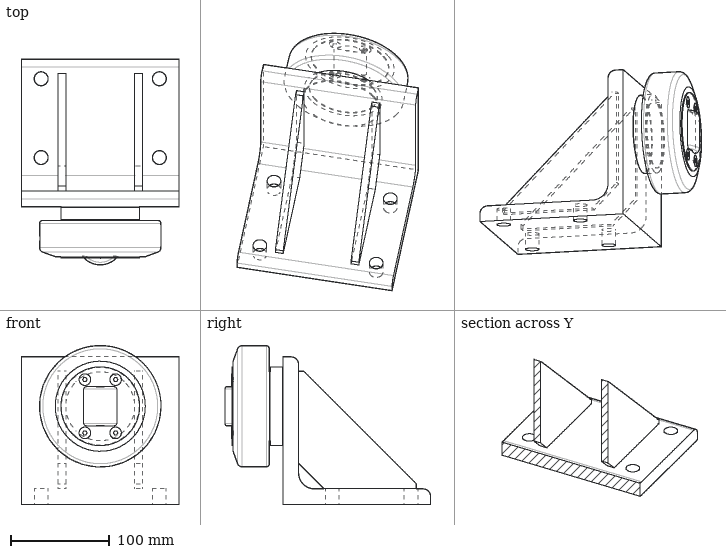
import cadquery as cq
import math

BRACKET_WIDTH = 160.0
LEG_LENGTH = 150.0
LEG_THICKNESS = 16.0
INNER_CORNER_RADIUS = 16.0
LEG_TIP_RADIUS = 8.0

RIB_THICKNESS = 8.0
RIB_GAP = 70.0
RIB_END = 135.5
RIB_END_LAND = 5.0
RIB_CORNER_CUT = 25.5

MOUNT_HOLE_DIAMETER = 13.84
MOUNT_HOLE_SPACING_X = 120.0
MOUNT_HOLE_SPACING_Y = 80.0
MOUNT_HOLE_FIRST_Y = 50.0

AXIS_HEIGHT = 99.75
HUB_DIAMETER = 80.0
HUB_FRONT = 51.7
HUB_CHAMFER = 0.5
HUB_FLANGE_THICKNESS = 13.1
HUB_CORE_DIAMETER = 70.0
WHEEL_DIAMETER = 123.5
WHEEL_CROWN = 0.15
WHEEL_BACK = 13.8
WHEEL_FRONT = 50.7
WHEEL_FACE_DIAMETER = 91.5
WHEEL_CONE_ANGLE = 20.0
WHEEL_BACK_FILLET = 3.0
WHEEL_FRONT_FILLET = 5.0
RIM_TOLERANCE = 1.0

ROLLER_RADIUS = 23.0
ROLLER_LENGTH = 40.0
ROLLER_FILLET = 2.7
ROLLER_FRONT = 59.0
ROLLER_RECESS_RADIUS = 16.2
ROLLER_RECESS_DEPTH = 0.5

SCREW_HEAD_DIAMETER = 11.7
SCREW_HEAD_HEIGHT = 0.3
SCREW_CIRCLE_RADIUS = 31.2
SCREW_ANGLES = (60, 120, 240, 300)
HEX_SIDES = 6
SOCKET_ACROSS_FLATS = 4.0
SOCKET_DEPTH = 2.0


def extrude_along_x(profile, start, length):
    """Extrude a (Y, Z) profile from X = start towards +X."""
    return profile.extrude(length).translate((start, 0, 0))


def make_angle():
    profile = (
        cq.Workplane("YZ")
        .moveTo(0, 0)
        .lineTo(LEG_LENGTH, 0)
        .lineTo(LEG_LENGTH, LEG_THICKNESS)
        .lineTo(LEG_THICKNESS, LEG_THICKNESS)
        .lineTo(LEG_THICKNESS, LEG_LENGTH)
        .lineTo(0, LEG_LENGTH)
        .close()
    )
    angle = extrude_along_x(profile, -BRACKET_WIDTH / 2, BRACKET_WIDTH)
    inner_corner = cq.NearestToPointSelector((0, LEG_THICKNESS, LEG_THICKNESS))
    base_tip = cq.NearestToPointSelector((0, LEG_LENGTH, LEG_THICKNESS))
    upright_tip = cq.NearestToPointSelector((0, LEG_THICKNESS, LEG_LENGTH))
    angle = angle.edges(inner_corner).fillet(INNER_CORNER_RADIUS)
    return angle.edges(base_tip).fillet(LEG_TIP_RADIUS).edges(upright_tip).fillet(LEG_TIP_RADIUS)


def make_rib(start):
    corner_cut_end = LEG_THICKNESS + RIB_CORNER_CUT
    land_end = LEG_THICKNESS + RIB_END_LAND
    profile = (
        cq.Workplane("YZ")
        .moveTo(corner_cut_end, LEG_THICKNESS)
        .lineTo(RIB_END, LEG_THICKNESS)
        .lineTo(RIB_END, land_end)
        .lineTo(land_end, RIB_END)
        .lineTo(LEG_THICKNESS, RIB_END)
        .lineTo(LEG_THICKNESS, corner_cut_end)
        .close()
    )
    return extrude_along_x(profile, start, RIB_THICKNESS)


def make_mount_holes():
    centres = [
        (side * MOUNT_HOLE_SPACING_X / 2, MOUNT_HOLE_FIRST_Y + row * MOUNT_HOLE_SPACING_Y)
        for side in (-1, 1)
        for row in (0, 1)
    ]
    return cq.Workplane("XY").pushPoints(centres).circle(MOUNT_HOLE_DIAMETER / 2).extrude(LEG_THICKNESS)


def make_wheel():
    """Crowned wheel with a conical front shoulder, revolved from an (X, Y) half profile."""
    radius = WHEEL_DIAMETER / 2
    edge_radius = radius - WHEEL_CROWN
    face_radius = WHEEL_FACE_DIAMETER / 2
    cone_length = (edge_radius - face_radius) * math.tan(math.radians(WHEEL_CONE_ANGLE))
    shoulder = WHEEL_FRONT - cone_length
    wheel = (
        cq.Workplane("XY")
        .moveTo(0, -WHEEL_BACK)
        .lineTo(edge_radius, -WHEEL_BACK)
        .threePointArc((radius, -(WHEEL_BACK + shoulder) / 2), (edge_radius, -shoulder))
        .lineTo(face_radius, -WHEEL_FRONT)
        .lineTo(0, -WHEEL_FRONT)
        .close()
        .revolve(360, (0, 0), (0, 1))
    )
    wheel = wheel.faces(">Y").edges().fillet(WHEEL_BACK_FILLET)
    rim_zone = cq.selectors.BoxSelector(
        (-radius, -shoulder - RIM_TOLERANCE, -radius), (radius, -shoulder + RIM_TOLERANCE, radius)
    )
    wheel = wheel.edges(rim_zone).edges("%CIRCLE").fillet(WHEEL_FRONT_FILLET)
    return wheel.translate((0, 0, AXIS_HEIGHT))


def make_hub_disc(diameter, back, front):
    disc = cq.Workplane("XZ", origin=(0, -back, 0)).circle(diameter / 2).extrude(front - back)
    return disc.translate((0, 0, AXIS_HEIGHT))


def make_hub():
    """Flange on the bracket and cap in the wheel, joined by a core that leaves a gap behind the wheel."""
    flange = make_hub_disc(HUB_DIAMETER, 0, HUB_FLANGE_THICKNESS).edges(">Y").chamfer(HUB_CHAMFER)
    core = make_hub_disc(HUB_CORE_DIAMETER, 0, HUB_FRONT)
    cap = make_hub_disc(HUB_DIAMETER, WHEEL_BACK, HUB_FRONT)
    return core.union(flange).union(cap)


def make_roller():
    """Roller with rounded ends and a shallow round recess in each end face."""
    roller = cq.Workplane("XY").circle(ROLLER_RADIUS).extrude(ROLLER_LENGTH)
    roller = roller.edges().fillet(ROLLER_FILLET)
    recess = cq.Workplane("XY").circle(ROLLER_RECESS_RADIUS).extrude(ROLLER_RECESS_DEPTH)
    roller = roller.cut(recess).cut(recess.translate((0, 0, ROLLER_LENGTH - ROLLER_RECESS_DEPTH)))
    return roller.translate((0, ROLLER_RADIUS - ROLLER_FRONT, AXIS_HEIGHT - ROLLER_LENGTH / 2))


def screw_workplane(distance):
    """Plane parallel to the hub face with a point at every screw centre."""
    centres = [
        (
            SCREW_CIRCLE_RADIUS * math.cos(math.radians(angle)),
            AXIS_HEIGHT + SCREW_CIRCLE_RADIUS * math.sin(math.radians(angle)),
        )
        for angle in SCREW_ANGLES
    ]
    return cq.Workplane("XZ", origin=(0, -distance, 0)).pushPoints(centres)


def make_screw_heads():
    return screw_workplane(HUB_FRONT).circle(SCREW_HEAD_DIAMETER / 2).extrude(SCREW_HEAD_HEIGHT)


def make_screw_sockets():
    across_corners = SOCKET_ACROSS_FLATS / math.cos(math.pi / HEX_SIDES)
    socket_floor = HUB_FRONT + SCREW_HEAD_HEIGHT - SOCKET_DEPTH
    return screw_workplane(socket_floor).polygon(HEX_SIDES, across_corners).extrude(SOCKET_DEPTH)


bracket = make_angle().cut(make_mount_holes())
for rib_start in (-RIB_GAP / 2 - RIB_THICKNESS, RIB_GAP / 2):
    bracket = bracket.union(make_rib(rib_start))

wheel_unit = make_hub().union(make_wheel()).union(make_roller())
wheel_unit = wheel_unit.union(make_screw_heads()).cut(make_screw_sockets())

result = bracket.union(wheel_unit)